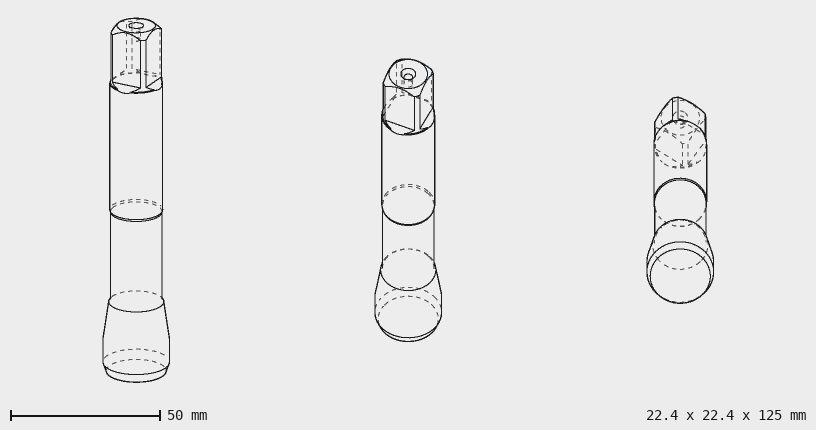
import cadquery as cq
import math

TOTAL_HEIGHT = 125.0
HEAD_TOP = 25.1
COLLAR_BOTTOM = 57.6
COLLAR_TOP = 104.4

ROD_DIAMETER = 17.2
FLARE_WIDTH = 0.6
FLARE_HEIGHT = 1.0
COLLAR_DIAMETER = 17.8
COLLAR_LOWER_CHAMFER = 0.8
COLLAR_UPPER_CHAMFER = 0.2
SQUARE_WIDTH = 13.5
SQUARE_BASE = 105.9
TOP_FACE_DIAMETER = 12.9
END_CHAMFER_HEIGHT = 2.0
CENTER_HOLE_DIAMETER = 3.0
CENTER_HOLE_DEPTH = 5.0
COUNTERSINK_DIAMETER = 5.0
DRILL_POINT_ANGLE = 120.0
COUNTERSINK_ANGLE = 60.0

HEAD_DIAMETER = 22.4
TAPER_BOTTOM = 11.5
BAND_BOTTOM = 3.2
FOOT_DIAMETER = 20.1

rod_radius = ROD_DIAMETER / 2
collar_radius = COLLAR_DIAMETER / 2
seat_radius = rod_radius + FLARE_WIDTH
flare_radius = (FLARE_WIDTH**2 + FLARE_HEIGHT**2) / (2 * FLARE_WIDTH)


def cone_height(diameter, angle):
    """Height of a full cone with the given base diameter and included angle."""
    return diameter / 2 / math.tan(math.radians(angle / 2))


def turned_rod():
    """Plain rod with a slightly larger collar, a flared foot and a conical top end."""
    outline = (
        cq.Workplane("XZ")
        .moveTo(0, HEAD_TOP)
        .lineTo(seat_radius, HEAD_TOP)
        .radiusArc((rod_radius, HEAD_TOP + FLARE_HEIGHT), flare_radius)
        .lineTo(rod_radius, COLLAR_BOTTOM)
        .lineTo(collar_radius, COLLAR_BOTTOM + COLLAR_LOWER_CHAMFER)
        .lineTo(collar_radius, COLLAR_TOP - COLLAR_UPPER_CHAMFER)
        .lineTo(rod_radius, COLLAR_TOP)
        .lineTo(rod_radius, TOTAL_HEIGHT - END_CHAMFER_HEIGHT)
        .lineTo(TOP_FACE_DIAMETER / 2, TOTAL_HEIGHT)
        .lineTo(0, TOTAL_HEIGHT)
        .close()
    )
    return outline.revolve(360, (0, 0, 0), (0, 1, 0))


def flat_cutter():
    """Removes one side of the drive square, ending in a 45 degree shoulder."""
    flat = SQUARE_WIDTH / 2
    reach = ROD_DIAMETER - flat
    return (
        cq.Workplane("XZ")
        .moveTo(flat, SQUARE_BASE)
        .lineTo(flat + reach, SQUARE_BASE - reach)
        .lineTo(flat + reach, TOTAL_HEIGHT)
        .lineTo(flat, TOTAL_HEIGHT)
        .close()
        .extrude(ROD_DIAMETER / 2, both=True)
    )


def center_hole():
    """Countersunk center hole with a drill point, in the top end."""
    hole_radius = CENTER_HOLE_DIAMETER / 2
    sink_depth = cone_height(COUNTERSINK_DIAMETER - CENTER_HOLE_DIAMETER, COUNTERSINK_ANGLE)
    hole_bottom = TOTAL_HEIGHT - CENTER_HOLE_DEPTH
    return (
        cq.Workplane("XZ")
        .moveTo(0, TOTAL_HEIGHT)
        .lineTo(COUNTERSINK_DIAMETER / 2, TOTAL_HEIGHT)
        .lineTo(hole_radius, TOTAL_HEIGHT - sink_depth)
        .lineTo(hole_radius, hole_bottom)
        .lineTo(0, hole_bottom - cone_height(CENTER_HOLE_DIAMETER, DRILL_POINT_ANGLE))
        .close()
        .revolve(360, (0, 0, 0), (0, 1, 0))
    )


def make_rod():
    body = turned_rod()
    for side in range(4):
        body = body.cut(flat_cutter().rotate((0, 0, 0), (0, 0, 1), side * 90))
    return body.cut(center_hole())


def make_head():
    """Tapered round head with a chamfered foot."""
    head_radius = HEAD_DIAMETER / 2
    return (
        cq.Workplane("XZ")
        .moveTo(0, 0)
        .lineTo(FOOT_DIAMETER / 2, 0)
        .lineTo(head_radius, BAND_BOTTOM)
        .lineTo(head_radius, TAPER_BOTTOM)
        .lineTo(seat_radius, HEAD_TOP)
        .lineTo(0, HEAD_TOP)
        .close()
        .revolve(360, (0, 0, 0), (0, 1, 0))
    )


rod = make_rod()
head = make_head()
result = cq.Compound.makeCompound([rod.val(), head.val()])